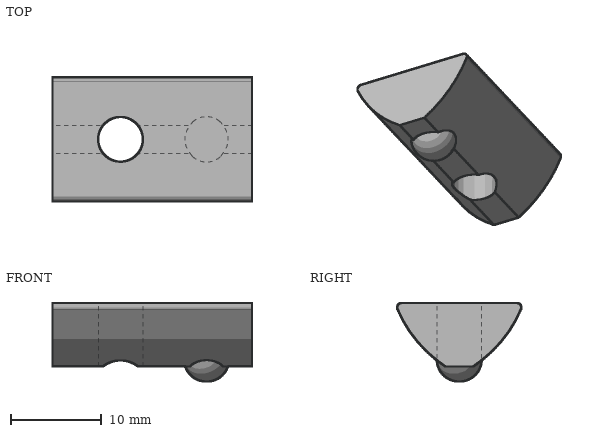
import cadquery as cq
import math

length = 22.0
width = 13.7
body_height = 7.0
edge_radius = 0.5
flank_radius = 14.08
flank_tilt = math.radians(23.0)

hole_diameter = 4.9
hole_x = 7.5
ball_radius = 2.5
ball_x = 16.98
overall_height = 8.7

edge_center_y = width / 2 - edge_radius
edge_center_z = -edge_radius
center_distance = flank_radius - edge_radius
flank_center_y = edge_center_y - center_distance * math.cos(flank_tilt)
flank_center_z = edge_center_z + center_distance * math.sin(flank_tilt)
bottom_angle = math.asin((body_height + flank_center_z) / flank_radius)


def flank_point(angle):
    """Point on the +Y flank whose outward normal dips below horizontal by angle."""
    return (
        flank_center_y + flank_radius * math.cos(angle),
        flank_center_z - flank_radius * math.sin(angle),
    )


def edge_point(angle):
    """Point on the +Y edge rounding at an angle above horizontal."""
    return (
        edge_center_y + edge_radius * math.cos(angle),
        edge_center_z + edge_radius * math.sin(angle),
    )


def mirrored(point):
    return (-point[0], point[1])


def make_body():
    edge_top = (edge_center_y, 0)
    edge_middle = edge_point((math.pi / 2 - flank_tilt) / 2)
    flank_top = flank_point(flank_tilt)
    flank_middle = flank_point((flank_tilt + bottom_angle) / 2)
    flank_bottom = flank_point(bottom_angle)
    profile = (
        cq.Workplane("YZ")
        .moveTo(*mirrored(edge_top))
        .lineTo(*edge_top)
        .threePointArc(edge_middle, flank_top)
        .threePointArc(flank_middle, flank_bottom)
        .lineTo(*mirrored(flank_bottom))
        .threePointArc(mirrored(flank_middle), mirrored(flank_top))
        .threePointArc(mirrored(edge_middle), mirrored(edge_top))
        .close()
    )
    return profile.extrude(length)


def make_hole():
    return cq.Workplane("XY").center(hole_x, 0).circle(hole_diameter / 2).extrude(-body_height)


def make_ball():
    ball_z = ball_radius - overall_height
    return cq.Workplane("XY").sphere(ball_radius).translate((ball_x, 0, ball_z))


result = make_body().cut(make_hole()).union(make_ball())